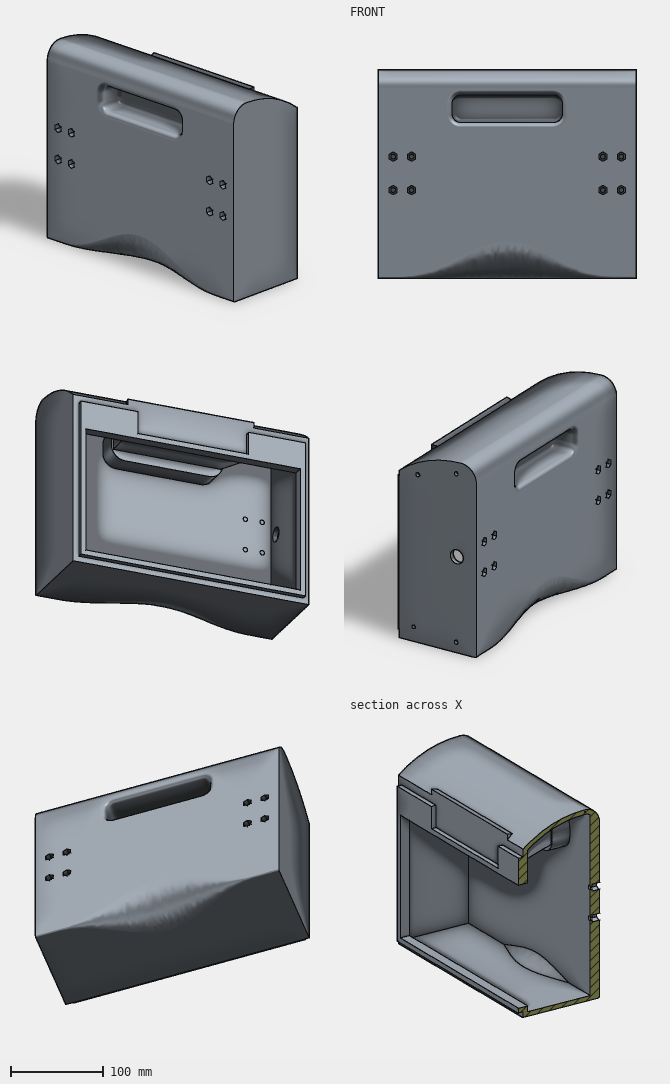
import cadquery as cq
import math

width = 280.0
depth = 100.0
height = 226.66
wall = 6.0
front_wall = 13.0
center_x = width / 2

nose_radius = 20.0
back_edge_height = 198.8
crown_run = depth - nose_radius
crown_drop = height - back_edge_height
crown_radius = (crown_run**2 + crown_drop**2) / (2 * crown_drop)

rim_height = 6.0
rim_top = 189.5
rim_inset = 6.7
rim_width = wall

recess_width = 120.0
recess_height = 30.0
recess_depth = 30.0
recess_center_z = 184.2
recess_corner = 10.0
recess_flare = 5.8
recess_floor_fillet = 5.0
mouth_margin = 1.0
flare_width = recess_width + 2 * recess_flare
flare_height = recess_height + 2 * recess_flare
block_width = 150.0
block_height = 42.4
block_draft = 10.0
housing_depth = recess_depth + wall

end_round = 2.0
middle_round = 40.0
bell_half_width = 113.0
round_stations = 24
round_overlap = 0.005
round_growth = wall / (math.sqrt(2) - 1)

nut_across_corners = 10.0
nut_turn = 30.0
nut_depth = 10.0
bolt_diameter = 5.2
bolt_depth = 12.0
nut_edge_offsets = (16.2, 36.2)
nut_heights = (96.0, 132.3)

cable_hole_diameter = 16.5
cable_hole_place = (25.4, 114.1)
screw_hole_depth = 5.0
screw_holes = (
    (4.7, (26.2, 12.4)),
    (4.2, (81.3, 17.4)),
    (4.7, (26.2, 212.6)),
    (4.7, (75.9, 199.4)),
)


def box(x_range, y_range, z_range):
    """Axis-aligned box from its limits along each axis."""
    (x0, x1), (y0, y1), (z0, z1) = x_range, y_range, z_range
    return cq.Workplane("XY").box(x1 - x0, y1 - y0, z1 - z0, centered=False).translate((x0, y0, z0))


def profile_solid(inset, front, back):
    """Side profile between front and back, moved inward by inset at the top, bottom and both ends."""
    crown = crown_radius - inset
    crown_center_z = height - crown_radius
    nose_z = height - nose_radius
    nose = nose_radius - inset

    def crown_z(y):
        return crown_center_z + math.sqrt(crown**2 - (y - nose_radius) ** 2)

    def nose_height(y):
        return nose_z + math.sqrt(nose**2 - (nose_radius - y) ** 2)

    crown_mid = (nose_radius + back) / 2
    nose_mid = (nose_radius + front) / 2
    return (
        cq.Workplane("YZ", origin=(inset, 0, 0))
        .moveTo(front, inset)
        .lineTo(back, inset)
        .lineTo(back, crown_z(back))
        .threePointArc((crown_mid, crown_z(crown_mid)), (nose_radius, height - inset))
        .threePointArc((nose_mid, nose_height(nose_mid)), (front, nose_height(front)))
        .close()
        .extrude(width - 2 * inset)
    )


def round_radius(x):
    """Radius of the front bottom edge at x."""
    share = min(abs(x - center_x) / bell_half_width, 1)
    return end_round + (middle_round - end_round) * math.cos(share * math.pi / 2) ** 2


def edge_round(growth):
    """Wedge to remove for the swelling round of the front bottom edge, its radius enlarged by growth."""
    spacing = width / (round_stations - 2)
    wires = []
    for station in range(round_stations + 1):
        x = center_x + (station - round_stations / 2) * spacing
        radius = round_radius(x) + growth
        middle = radius * (1 - math.sqrt(0.5)) - round_overlap
        end = radius - round_overlap
        wedge = (
            cq.Workplane("YZ", origin=(x, 0, 0))
            .moveTo(-round_overlap, -round_overlap)
            .lineTo(end, -round_overlap)
            .threePointArc((middle, middle), (-round_overlap, end))
            .close()
        )
        wires.append(wedge.val())
    return cq.Workplane(obj=cq.Solid.makeLoft(wires, False))


def rounded_slab(slab_width, slab_height, corner, y_start, y_end):
    """Rounded rectangle centered on the handle, extruded along +Y."""
    return (
        cq.Workplane("XZ", origin=(center_x, y_start, recess_center_z))
        .rect(slab_width, slab_height)
        .extrude(y_start - y_end)
        .edges("|Y")
        .fillet(corner)
    )


def shell():
    """Hollow body with the swelling round on its front bottom edge."""
    body = profile_solid(0, 0, depth)
    cavity = profile_solid(wall, front_wall, depth - wall)
    return body.cut(cavity.cut(edge_round(round_growth))).cut(edge_round(0))


def add_rim(body):
    """Raised rim on the back, notched behind the handle, with the opening through it."""
    rim_back = depth + rim_height
    rim = box((rim_inset, width - rim_inset), (depth, rim_back), (rim_inset, rim_top))
    notch_bottom = recess_center_z - flare_height / 2
    notch_sides = (center_x - flare_width / 2, center_x + flare_width / 2)
    notch = box(notch_sides, (depth, rim_back), (notch_bottom, rim_top))
    inset = rim_inset + rim_width
    opening_top = notch_bottom - rim_width
    opening = box((inset, width - inset), (depth - wall, rim_back), (inset, opening_top))
    return body.union(rim.cut(notch)).cut(opening)


def add_handle(body):
    """Housing and drafted block behind the handle, and the flared recess cut into it."""
    block = (
        cq.Workplane("XZ", origin=(center_x, depth, recess_center_z))
        .rect(block_width, block_height)
        .extrude(depth - recess_depth, taper=block_draft)
    )
    housing = rounded_slab(
        recess_width + 2 * wall, recess_height + 2 * wall, recess_corner + wall, wall, housing_depth
    )
    recess = rounded_slab(recess_width, recess_height, recess_corner, 0, recess_depth)
    recess = recess.faces(">Y").edges().fillet(recess_floor_fillet)
    body = body.union(housing).union(block).cut(recess)
    return body.edges(mouth_edges()).fillet(recess_flare)


def mouth_edges():
    """Selector for the edges where the recess meets the front face."""
    half_width = recess_width / 2 + mouth_margin
    half_height = recess_height / 2 + mouth_margin
    return cq.selectors.BoxSelector(
        (center_x - half_width, -mouth_margin, recess_center_z - half_height),
        (center_x + half_width, mouth_margin, recess_center_z + half_height),
    )


def cut_nut_pockets(body):
    """Hexagonal nut pockets with blind bolt holes, mirrored left and right."""
    places = []
    for offset in nut_edge_offsets:
        for z in nut_heights:
            places.append((offset, z))
            places.append((width - offset, z))
    face = cq.Workplane("XZ").pushPoints(places)
    bolts = face.circle(bolt_diameter / 2).extrude(-bolt_depth)
    for x, z in places:
        nut = cq.Workplane("XZ").polygon(6, nut_across_corners).extrude(-nut_depth)
        body = body.cut(nut.rotate((0, 0, 0), (0, 1, 0), nut_turn).translate((x, 0, z)))
    return body.cut(bolts)


def side_hole(diameter, place, hole_depth):
    """Cylinder going in from the side face at X = 0."""
    return cq.Workplane("YZ").center(*place).circle(diameter / 2).extrude(hole_depth)


def cut_side_holes(body):
    """Cable hole through the side wall and blind screw holes near its corners."""
    body = body.cut(side_hole(cable_hole_diameter, cable_hole_place, wall))
    for diameter, place in screw_holes:
        body = body.cut(side_hole(diameter, place, screw_hole_depth))
    return body


result = cut_side_holes(cut_nut_pockets(add_handle(add_rim(shell()))))